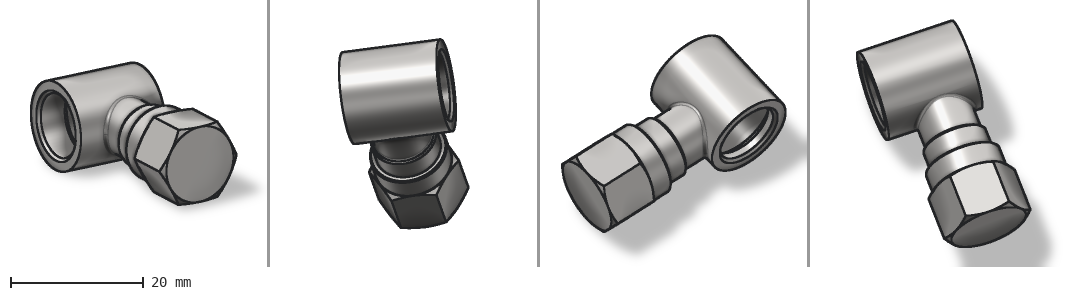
import cadquery as cq
import math

ring_diameter = 14.0
ring_radius = ring_diameter / 2
ring_front = 9.0
ring_back = 6.0
bore_diameter = 10.0
bore_chamfer = 0.5

groove_depth = 1
groove_half_width = 4.25

overall_length = 33.1
branch_end = overall_length - ring_radius
neck_radius = 4.5
collar_radius = 5.03
sleeve_radius = 5.92
nut_length = 8.0
sleeve_length = 3.5
collar_length = 3.65
nut_start = branch_end - nut_length
sleeve_start = nut_start - sleeve_length
collar_start = sleeve_start - collar_length
collar_chamfer = 0.3
sleeve_chamfer = 0.2
ring_fillet = 0.5
collar_fillet = 0.23

nut_across_flats = 11.98
nut_across_corners = nut_across_flats / math.cos(math.pi / 6)
nut_chamfer_depth = 0.55
nut_face_radius = nut_across_flats / 2


def shaft(start, end, radius):
    """Cylinder on the X axis between two X positions."""
    return cq.Workplane("YZ", origin=(start, 0, 0)).circle(radius).extrude(end - start)


def stepped_shaft(start, end, radius, shoulder_chamfer):
    """Shaft section with its shoulder facing the ring chamfered."""
    return shaft(start, end, radius).faces("<X").chamfer(shoulder_chamfer)


def neck_root():
    """Concave flare at the end of the neck that meets the collar shoulder."""
    flare_start = collar_start - collar_fillet
    arc_drop = collar_fillet * math.sin(math.pi / 4)
    arc_middle = (flare_start + arc_drop, neck_radius + collar_fillet - arc_drop)
    return (
        cq.Workplane("XY")
        .moveTo(flare_start, 0)
        .lineTo(flare_start, neck_radius)
        .threePointArc(arc_middle, (collar_start, neck_radius + collar_fillet))
        .lineTo(collar_start, 0)
        .close()
        .revolve(360, (0, 0, 0), (1, 0, 0))
    )


def gallery_groove():
    """Trapezoidal ring of space cut into the bore wall around the Y axis."""
    bore_radius = bore_diameter / 2
    floor_radius = bore_radius + groove_depth
    floor_half_width = groove_half_width - groove_depth
    return (
        cq.Workplane("XY")
        .moveTo(0, -groove_half_width)
        .lineTo(bore_radius, -groove_half_width)
        .lineTo(floor_radius, -floor_half_width)
        .lineTo(floor_radius, floor_half_width)
        .lineTo(bore_radius, groove_half_width)
        .lineTo(0, groove_half_width)
        .close()
        .revolve(360, (0, 0, 0), (0, 1, 0))
    )


def hexagon_nut():
    """Hexagon with corners on +Y and -Y, its corners turned off conically at both ends."""
    hexagon = (
        cq.Workplane("YZ", origin=(nut_start, 0, 0))
        .polygon(6, nut_across_corners)
        .extrude(nut_length)
    )
    corner_radius = nut_across_corners / 2
    turned_envelope = (
        cq.Workplane("XY")
        .moveTo(nut_start, 0)
        .lineTo(nut_start, nut_face_radius)
        .lineTo(nut_start + nut_chamfer_depth, corner_radius)
        .lineTo(branch_end - nut_chamfer_depth, corner_radius)
        .lineTo(branch_end, nut_face_radius)
        .lineTo(branch_end, 0)
        .close()
        .revolve(360, (0, 0, 0), (1, 0, 0))
    )
    return hexagon.intersect(turned_envelope)


ring = (
    cq.Workplane("XZ", origin=(0, ring_back, 0))
    .circle(ring_radius)
    .extrude(ring_front + ring_back)
)
body = ring.union(shaft(0, collar_start, neck_radius))
ring_joint = cq.selectors.BoxSelector(
    (0, -neck_radius - 0.33, -neck_radius - 0.33),
    (ring_radius + 0.33, neck_radius + 0.33, neck_radius + 0.33),
    boundingbox=True,
)
body = body.edges(ring_joint).fillet(ring_fillet)

bore = (
    cq.Workplane("XZ", origin=(0, ring_back, 0))
    .circle(bore_diameter / 2)
    .extrude(ring_front + ring_back)
)
body = body.cut(bore)
body = body.faces("<Y or >Y").edges(cq.selectors.RadiusNthSelector(0)).chamfer(bore_chamfer)
body = body.cut(gallery_groove())

body = body.union(neck_root())
body = body.union(stepped_shaft(collar_start, sleeve_start, collar_radius, collar_chamfer))
body = body.union(stepped_shaft(sleeve_start, nut_start, sleeve_radius, sleeve_chamfer))
result = body.union(hexagon_nut())